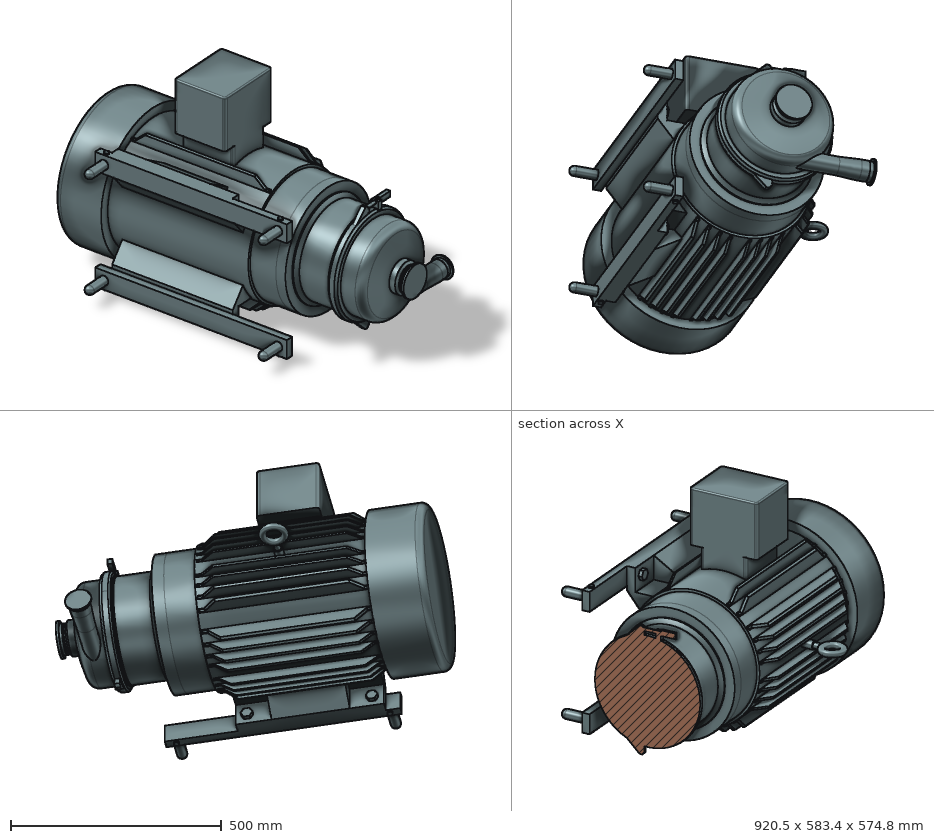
import cadquery as cq
import math


TOTAL_LENGTH = 920.46
TOTAL_WIDTH = 583.4
TOTAL_HEIGHT = 574.8
EYE_TOP_Y = 291.6
PEG_TIP_Y = EYE_TOP_Y - TOTAL_WIDTH
BOX_TOP_Z = 371.8

MID_X = 348.8

COVER_RADIUS = TOTAL_HEIGHT - BOX_TOP_Z
COVER_END_X = 139.5
COVER_ROUND = 18.0
FRAME_RADIUS = 177.0
FRAME_END_X = 557.5
END_BELL_RADIUS = 169.5
END_BELL_JOINT_X = 633.5
END_BELL_END_X = 662.5

FIN_THICKNESS = 6.5
FIN_START_X = COVER_END_X
FIN_END_X = 552.5
FIN_FOOT_HEIGHT = 2.5
FIN_FOOT_RADIUS = FRAME_RADIUS + FIN_FOOT_HEIGHT
FIN_FOOT_LENGTH = 13.0
FIN_RAMP_LENGTH = 31.0
SIDE_FIN_OFFSETS = (24.0, 51.0, 79.0, 107.0)
TOP_FIN_OFFSETS = (-84.0, 87.5, 115.0)

ADAPTER_RADIUS = 131.0
ADAPTER_FLARE_RADIUS = 143.0
ADAPTER_FLARE_LENGTH = 9.0
ADAPTER_RIM_LENGTH = 3.5
ADAPTER_RIM_END_X = END_BELL_END_X + ADAPTER_RIM_LENGTH
CASING_RADIUS = 128.0
LIP_START_X = 762.5
LIP_END_X = 766.0
LIP_RADIUS = 134.0
CLAMP_START_X = 769.0
CLAMP_END_X = 795.5
CLAMP_SHOULDER_RADIUS = 140.0
CLAMP_RADIUS = 145.0
CLAMP_FRONT_BEVEL = 7.0
CLAMP_BACK_BEVEL = 4.5
DOME_START_X = 837.5
KNUCKLE_RADIUS = 25.0
CROWN_RADIUS = 360.0

SUCTION_NECK_DIAMETER = 88.1
SUCTION_TUBE_DIAMETER = 76.1
SUCTION_FLANGE_DIAMETER = 91.0
SUCTION_NECK_END_X = 893.5
SUCTION_GROOVE_DIAMETER = 71.98
SUCTION_GROOVE_START_X = 899.0
SUCTION_TUBE_START_X = 903.3
SUCTION_COLLAR_DIAMETER = 76.33
SUCTION_COLLAR_START_X = 907.0
SUCTION_FLANGE_THICKNESS = 6.35

DISCHARGE_X = 827.8
DISCHARGE_Z = -98.8
DISCHARGE_TOP_Y = 231.0
DISCHARGE_FLANGE_DIAMETER = 63.88
DISCHARGE_FLANGE_THICKNESS = 4.0
DISCHARGE_COLLAR_DIAMETER = 50.93
DISCHARGE_COLLAR_END_Y = 217.0
DISCHARGE_TUBE_DIAMETER = 51.6
DISCHARGE_TAPER_TOP_Y = 195.5
DISCHARGE_TAPER_BOTTOM_Y = 140.0
DISCHARGE_ROOT_DIAMETER = 45.6

CLOSURE_X = 782.5
CLOSURE_TOP_Z = 167.0
LUG_ROOT_RADIUS = 135.0
LUG_TOP_Z = 163.0
LUG_WIDTH = 21.0
LUG_START_Y = 22.0
LUG_END_Y = 37.0
BOLT_DIAMETER = 10.0
HANDLE_END_Y = 77.0
HANDLE_WIDTH = 12.0
HANDLE_HEIGHT = 16.0
ARM_WIDTH = 13.0
ARM_START_Y = -8.0
ARM_CREST_Y = -22.0
ARM_TIP_Y = -57.0
ARM_CORNER = 7.0

BOX_LENGTH = 152.0
BOX_WIDTH = 185.5
BOX_BOTTOM_Z = 224.0
BOX_CORNER_ROUND = 8.0
BOX_LID_ROUND = 4.0
NECK_WIDTH = 125.0

EYE_OUTER_DIAMETER = 71.98
EYE_HOLE_DIAMETER = 35.0
EYE_STUD_DIAMETER = 16.18
EYE_COLLAR_DIAMETER = 22.41
EYE_COLLAR_HEIGHT = 3.0

FOOT_START_X = 171.5
FOOT_END_X = 530.5
FOOT_TOP_Y = -179.0
FOOT_BOTTOM_Y = -202.3
FOOT_INNER_Z = 121.5
FOOT_OUTER_Z = 184.5
FOOT_SLOPE_Y = -161.0
FOOT_SLOPE_Z = 71.0
GUSSET_START_X = 254.5
GUSSET_END_X = 444.0
GUSSET_TOP_Y = -106.0
GUSSET_TOP_Z = 140.7
HEX_ACROSS_FLATS = 25.4
HEX_HEIGHT = 10.0
HEX_TURN_ANGLE = 30.0
HEX_INSET = 28.0
HEX_Z = 158.5

RAIL_START_X = 137.0
RAIL_END_X = 707.5
RAIL_BOTTOM_Y = -223.0
RAIL_INNER_Z = 132.5
PEG_DIAMETER = 25.4
PEG_TIP_FLAT = 0.01
PEG_INSET = 26.5
SCREW_DIAMETER = 13.0
SCREW_HEIGHT = 4.0


def box_between(x0, x1, y0, y1, z0, z1):
    """Block spanning the given coordinate ranges."""
    return cq.Workplane("XY").box(x1 - x0, y1 - y0, z1 - z0, centered=False).translate((x0, y0, z0))


def cylinder_along_y(x, z, diameter, y0, y1):
    """Round bar parallel to Y between two heights."""
    return cq.Workplane(cq.Solid.makeCylinder(diameter / 2, y1 - y0, cq.Vector(x, y0, z), cq.Vector(0, 1, 0)))


def extrude_along_x(points, x0, x1):
    """Prism with a (y, z) outline between two X stations."""
    return cq.Workplane("YZ").workplane(offset=x0).polyline(points).close().extrude(x1 - x0)


def turned_about_x(profile):
    """Revolve a profile drawn as (x, radius) about the shaft axis."""
    return profile.close().revolve(360, (0, 0, 0), (1, 0, 0))


def make_motor():
    cover = cq.Workplane("YZ").circle(COVER_RADIUS).extrude(COVER_END_X)
    cover = cover.faces("<X").edges().fillet(COVER_ROUND)
    frame = cq.Workplane("YZ").workplane(offset=COVER_END_X).circle(FRAME_RADIUS)
    frame = frame.extrude(FRAME_END_X - COVER_END_X)
    bell = cq.Workplane("YZ").workplane(offset=FRAME_END_X).circle(END_BELL_RADIUS)
    bell = bell.extrude(END_BELL_JOINT_X - FRAME_END_X)
    flange = cq.Workplane("YZ").workplane(offset=END_BELL_JOINT_X).circle(END_BELL_RADIUS)
    flange = flange.extrude(END_BELL_END_X - END_BELL_JOINT_X)
    return cover.union(frame).union(bell, clean=False).union(flange, clean=False)


def make_fins():
    """Parallel plates trimmed to one turned envelope that ramps down at both ends."""
    ramp_in_x = FIN_START_X + FIN_FOOT_LENGTH
    ramp_out_x = FIN_END_X - FIN_FOOT_LENGTH
    envelope = turned_about_x(
        cq.Workplane("XY")
        .moveTo(FIN_START_X, 0)
        .lineTo(FIN_START_X, FIN_FOOT_RADIUS)
        .lineTo(ramp_in_x, FIN_FOOT_RADIUS)
        .lineTo(ramp_in_x + FIN_RAMP_LENGTH, COVER_RADIUS)
        .lineTo(ramp_out_x - FIN_RAMP_LENGTH, COVER_RADIUS)
        .lineTo(ramp_out_x, FIN_FOOT_RADIUS)
        .lineTo(FIN_END_X, FIN_FOOT_RADIUS)
        .lineTo(FIN_END_X, 0)
    )
    half = FIN_THICKNESS / 2
    reach = COVER_RADIUS
    plates = cq.Workplane("XY")
    for offset in SIDE_FIN_OFFSETS:
        for center in (-offset, offset):
            side = box_between(FIN_START_X, FIN_END_X, 0, reach, center - half, center + half)
            bottom = box_between(FIN_START_X, FIN_END_X, center - half, center + half, -reach, 0)
            plates = plates.add(side).add(bottom)
    for center in TOP_FIN_OFFSETS:
        plates = plates.add(box_between(FIN_START_X, FIN_END_X, center - half, center + half, 0, reach))
    return plates.combine().intersect(envelope)


def make_pump():
    """Adapter, clamped joint, domed casing and suction nozzle as one turned body."""
    flange_x = TOTAL_LENGTH - SUCTION_FLANGE_THICKNESS
    neck_radius = SUCTION_NECK_DIAMETER / 2

    knuckle_center_r = CASING_RADIUS - KNUCKLE_RADIUS
    crown_angle = math.asin(knuckle_center_r / (CROWN_RADIUS - KNUCKLE_RADIUS))
    crown_center_x = DOME_START_X - (CROWN_RADIUS - KNUCKLE_RADIUS) * math.cos(crown_angle)
    neck_angle = math.asin(neck_radius / CROWN_RADIUS)

    def knuckle_point(angle):
        return (
            DOME_START_X + KNUCKLE_RADIUS * math.cos(angle),
            knuckle_center_r + KNUCKLE_RADIUS * math.sin(angle),
        )

    def crown_point(angle):
        return (crown_center_x + CROWN_RADIUS * math.cos(angle), CROWN_RADIUS * math.sin(angle))

    knuckle_middle = knuckle_point((crown_angle + math.pi / 2) / 2)
    crown_middle = crown_point((crown_angle + neck_angle) / 2)
    return turned_about_x(
        cq.Workplane("XY")
        .moveTo(END_BELL_END_X, 0)
        .lineTo(END_BELL_END_X, ADAPTER_FLARE_RADIUS)
        .lineTo(ADAPTER_RIM_END_X, ADAPTER_FLARE_RADIUS)
        .lineTo(ADAPTER_RIM_END_X + ADAPTER_FLARE_LENGTH, ADAPTER_RADIUS)
        .lineTo(LIP_START_X, ADAPTER_RADIUS)
        .lineTo(LIP_START_X, LIP_RADIUS)
        .lineTo(LIP_END_X, LIP_RADIUS)
        .lineTo(LIP_END_X, ADAPTER_RADIUS)
        .lineTo(CLAMP_START_X, ADAPTER_RADIUS)
        .lineTo(CLAMP_START_X, CLAMP_SHOULDER_RADIUS)
        .lineTo(CLAMP_START_X + CLAMP_BACK_BEVEL, CLAMP_RADIUS)
        .lineTo(CLAMP_END_X - CLAMP_FRONT_BEVEL, CLAMP_RADIUS)
        .lineTo(CLAMP_END_X, CLAMP_SHOULDER_RADIUS)
        .lineTo(CLAMP_END_X, CASING_RADIUS)
        .lineTo(DOME_START_X, CASING_RADIUS)
        .threePointArc(knuckle_middle, knuckle_point(crown_angle))
        .threePointArc(crown_middle, crown_point(neck_angle))
        .lineTo(SUCTION_NECK_END_X, neck_radius)
        .lineTo(SUCTION_GROOVE_START_X, SUCTION_GROOVE_DIAMETER / 2)
        .lineTo(SUCTION_TUBE_START_X, SUCTION_GROOVE_DIAMETER / 2)
        .lineTo(SUCTION_TUBE_START_X, SUCTION_TUBE_DIAMETER / 2)
        .lineTo(SUCTION_COLLAR_START_X, SUCTION_TUBE_DIAMETER / 2)
        .lineTo(SUCTION_COLLAR_START_X, SUCTION_COLLAR_DIAMETER / 2)
        .lineTo(flange_x, SUCTION_COLLAR_DIAMETER / 2)
        .lineTo(flange_x, SUCTION_FLANGE_DIAMETER / 2)
        .lineTo(TOTAL_LENGTH, SUCTION_FLANGE_DIAMETER / 2)
        .lineTo(TOTAL_LENGTH, 0)
    )


def make_discharge():
    """Turned nozzle drawn as (radius, y) and moved to its offset axis."""
    flange_y = DISCHARGE_TOP_Y - DISCHARGE_FLANGE_THICKNESS
    nozzle = (
        cq.Workplane("XY")
        .moveTo(0, 0)
        .lineTo(DISCHARGE_ROOT_DIAMETER / 2, 0)
        .lineTo(DISCHARGE_ROOT_DIAMETER / 2, DISCHARGE_TAPER_BOTTOM_Y)
        .lineTo(DISCHARGE_TUBE_DIAMETER / 2, DISCHARGE_TAPER_TOP_Y)
        .lineTo(DISCHARGE_TUBE_DIAMETER / 2, DISCHARGE_COLLAR_END_Y)
        .lineTo(DISCHARGE_COLLAR_DIAMETER / 2, DISCHARGE_COLLAR_END_Y)
        .lineTo(DISCHARGE_COLLAR_DIAMETER / 2, flange_y)
        .lineTo(DISCHARGE_FLANGE_DIAMETER / 2, flange_y)
        .lineTo(DISCHARGE_FLANGE_DIAMETER / 2, DISCHARGE_TOP_Y)
        .lineTo(0, DISCHARGE_TOP_Y)
        .close()
        .revolve(360, (0, 0, 0), (0, 1, 0))
    )
    return nozzle.translate((DISCHARGE_X, 0, DISCHARGE_Z))


def box_on_closure(width, y0, y1, z0, z1):
    """Block centred on the clamp band."""
    return box_between(CLOSURE_X - width / 2, CLOSURE_X + width / 2, y0, y1, z0, z1)


def make_clamp_closure():
    lug = box_on_closure(LUG_WIDTH, LUG_START_Y, LUG_END_Y, LUG_ROOT_RADIUS, LUG_TOP_Z)
    handle_z = CLOSURE_TOP_Z - HANDLE_HEIGHT
    handle = box_on_closure(HANDLE_WIDTH, LUG_END_Y, HANDLE_END_Y, handle_z, CLOSURE_TOP_Z)
    bolt_z = CLOSURE_TOP_Z - HANDLE_HEIGHT / 2
    bolt = cylinder_along_y(CLOSURE_X, bolt_z, BOLT_DIAMETER, ARM_CREST_Y, LUG_END_Y)
    tip_z = math.sqrt(CLAMP_RADIUS**2 - ARM_TIP_Y**2)
    arm = extrude_along_x(
        [
            (0, 0),
            (ARM_START_Y, LUG_ROOT_RADIUS),
            (ARM_START_Y, CLOSURE_TOP_Z - ARM_CORNER),
            (ARM_START_Y - ARM_CORNER, CLOSURE_TOP_Z),
            (ARM_CREST_Y, CLOSURE_TOP_Z),
            (ARM_TIP_Y, tip_z),
        ],
        CLOSURE_X - ARM_WIDTH / 2,
        CLOSURE_X + ARM_WIDTH / 2,
    )
    return lug.union(handle).union(bolt).union(arm).union(arm.mirror("XY"))


def make_terminal_box():
    body = (
        cq.Workplane("XY")
        .workplane(offset=BOX_BOTTOM_Z)
        .center(MID_X, 0)
        .rect(BOX_LENGTH, BOX_WIDTH)
        .extrude(BOX_TOP_Z - BOX_BOTTOM_Z)
        .edges("|Z")
        .fillet(BOX_CORNER_ROUND)
        .faces(">Z")
        .edges()
        .fillet(BOX_LID_ROUND)
    )
    neck = (
        cq.Workplane("XY")
        .center(MID_X, 0)
        .rect(BOX_LENGTH, NECK_WIDTH)
        .extrude(BOX_BOTTOM_Z)
        .edges("|Z")
        .fillet(BOX_CORNER_ROUND)
    )
    return body.union(neck)


def make_lifting_eye():
    tube_radius = (EYE_OUTER_DIAMETER - EYE_HOLE_DIAMETER) / 4
    ring_radius = EYE_OUTER_DIAMETER / 2 - tube_radius
    center_y = EYE_TOP_Y - EYE_OUTER_DIAMETER / 2
    center = cq.Vector(MID_X, center_y, 0)
    ring = cq.Workplane(cq.Solid.makeTorus(ring_radius, tube_radius, center, cq.Vector(0, 0, 1)))
    stud = cylinder_along_y(MID_X, 0, EYE_STUD_DIAMETER, 0, center_y - ring_radius)
    collar = cylinder_along_y(MID_X, 0, EYE_COLLAR_DIAMETER, 0, COVER_RADIUS + EYE_COLLAR_HEIGHT)
    return ring.union(stud).union(collar)


def make_foot():
    """Foot, rail, pegs and fasteners on the +Z side."""
    shelf = extrude_along_x(
        [(0, 0), (FOOT_SLOPE_Y, FOOT_SLOPE_Z), (FOOT_BOTTOM_Y, FOOT_INNER_Z), (0, FOOT_INNER_Z)],
        FOOT_START_X,
        FOOT_END_X,
    )
    plate = box_between(FOOT_START_X, FOOT_END_X, FOOT_BOTTOM_Y, FOOT_TOP_Y, FOOT_INNER_Z, FOOT_OUTER_Z)
    gusset = extrude_along_x(
        [(0, 0), (FOOT_TOP_Y, FOOT_INNER_Z), (FOOT_TOP_Y, FOOT_OUTER_Z), (GUSSET_TOP_Y, GUSSET_TOP_Z)],
        GUSSET_START_X,
        GUSSET_END_X,
    )
    rail = box_between(RAIL_START_X, RAIL_END_X, RAIL_BOTTOM_Y, FOOT_BOTTOM_Y, RAIL_INNER_Z, FOOT_OUTER_Z)
    foot = shelf.union(plate).union(gusset).union(rail)

    for x in (FOOT_START_X + HEX_INSET, FOOT_END_X - HEX_INSET):
        head = cq.Workplane("XZ").polygon(6, HEX_ACROSS_FLATS, circumscribed=True).extrude(-HEX_HEIGHT)
        head = head.rotate((0, 0, 0), (0, 1, 0), HEX_TURN_ANGLE)
        foot = foot.union(head.translate((x, FOOT_TOP_Y, HEX_Z)))

    rail_mid_y = (RAIL_BOTTOM_Y + FOOT_BOTTOM_Y) / 2
    rail_mid_z = (RAIL_INNER_Z + FOOT_OUTER_Z) / 2
    for x in (RAIL_START_X + PEG_INSET, RAIL_END_X - PEG_INSET):
        peg = cylinder_along_y(x, rail_mid_z, PEG_DIAMETER, PEG_TIP_Y, RAIL_BOTTOM_Y)
        peg = peg.faces("<Y").edges().fillet(PEG_DIAMETER / 2 - PEG_TIP_FLAT)
        screw = cq.Workplane("XY", origin=(x, rail_mid_y, FOOT_OUTER_Z)).circle(SCREW_DIAMETER / 2)
        foot = foot.union(peg).union(screw.extrude(SCREW_HEIGHT))
    return foot


foot = make_foot()
result = make_motor()
for feature in (
    make_fins(),
    make_pump(),
    make_discharge(),
    make_clamp_closure(),
    make_terminal_box(),
    make_lifting_eye(),
    foot,
    foot.mirror("XY"),
):
    result = result.union(feature, clean=False)